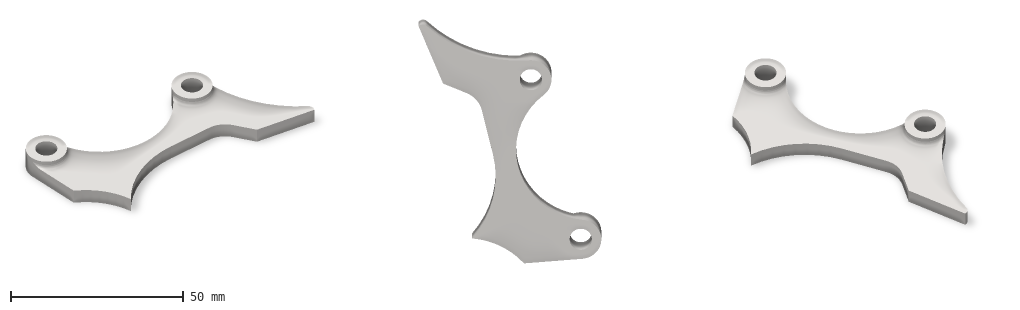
import cadquery as cq
import math

plate_thickness = 4.6
boss_height = 7.0
boss_radius = 6.0
bore_radius = 3.2
boss_root_fillet = 1.1
lower_boss = (0.0, 0.0)
upper_boss = (32.5, 39.3)

waist_radius = 21.6
back_radius = 37.9
back_center_x = 53.2

foot_heel = (12.3, -13.25)
foot_toe = (29.2, -12.1)
foot_arch = (22.5, -11.0)

relief_radius = 29.2
relief_center = (57.2, -3.45)
slope_angle = math.radians(53.5)
inner_corner_radius = 7.65
level_edge_y = 28.25
level_edge_end = (55.5, level_edge_y)

horn_point = (68.9, 41.6)
horn_crown = (67.95, 42.6)
horn_back_x = 66.7


def toward(start, end, distance):
    """Point a given distance from start, in the direction of end."""
    span = math.dist(start, end)
    return tuple(a + (b - a) * distance / span for a, b in zip(start, end))


def polar(center, radius, angle):
    return (center[0] + radius * math.cos(angle), center[1] + radius * math.sin(angle))


boss_spacing = math.dist(lower_boss, upper_boss)
boss_direction = math.atan2(upper_boss[1], upper_boss[0])
waist_center_angle = boss_direction + math.acos(boss_spacing / 2 / (boss_radius + waist_radius))
waist_center = polar(lower_boss, boss_radius + waist_radius, waist_center_angle)
waist_start = toward(lower_boss, waist_center, boss_radius)
waist_end = toward(upper_boss, waist_center, boss_radius)
waist_middle = polar(waist_center, waist_radius, boss_direction - math.pi / 2)

back_rise = math.sqrt((boss_radius + back_radius) ** 2 - (back_center_x - upper_boss[0]) ** 2)
back_center = (back_center_x, upper_boss[1] + back_rise)
back_start = toward(upper_boss, back_center, boss_radius)
back_lowest = polar(back_center, back_radius, -math.pi / 2)
back_end = polar(back_center, back_radius, -math.acos((horn_back_x - back_center_x) / back_radius))

heel_angle = math.atan2(foot_heel[1], foot_heel[0])
heel_tangent_angle = heel_angle - math.acos(boss_radius / math.dist(lower_boss, foot_heel))
heel_tangent = polar(lower_boss, boss_radius, heel_tangent_angle)

relief_end = polar(relief_center, relief_radius, slope_angle + math.pi / 2)
toe_angle = math.pi + math.asin((relief_center[1] - foot_toe[1]) / relief_radius)
relief_middle = polar(relief_center, relief_radius, (toe_angle + slope_angle + math.pi / 2) / 2)
corner_x = relief_end[0] + (level_edge_y - relief_end[1]) / math.tan(slope_angle)
corner_setback = inner_corner_radius * math.tan(slope_angle / 2)
corner_start = toward((corner_x, level_edge_y), relief_end, corner_setback)
corner_end = (corner_x + corner_setback, level_edge_y)
corner_center = (corner_end[0], level_edge_y - inner_corner_radius)
corner_middle = polar(corner_center, inner_corner_radius, (math.pi + slope_angle) / 2)

plate = (
    cq.Workplane("XY")
    .moveTo(*heel_tangent)
    .lineTo(*foot_heel)
    .threePointArc(foot_arch, foot_toe)
    .threePointArc(relief_middle, relief_end)
    .lineTo(*corner_start)
    .threePointArc(corner_middle, corner_end)
    .lineTo(*level_edge_end)
    .lineTo(*horn_point)
    .threePointArc(horn_crown, back_end)
    .threePointArc(back_lowest, back_start)
    .threePointArc(toward(upper_boss, back_start, -boss_radius), waist_end)
    .threePointArc(waist_middle, waist_start)
    .threePointArc((-boss_radius, 0), heel_tangent)
    .close()
    .extrude(plate_thickness)
)


def boss_root():
    """Flared ring at the foot of a boss, with a concave quarter-round section."""
    flare_radius = boss_radius + boss_root_fillet
    arc_drop = boss_root_fillet * (1 - math.sqrt(0.5))
    return (
        cq.Workplane("XZ")
        .lineTo(flare_radius, 0)
        .lineTo(flare_radius, plate_thickness)
        .threePointArc(
            (boss_radius + arc_drop, plate_thickness + arc_drop),
            (boss_radius, plate_thickness + boss_root_fillet),
        )
        .lineTo(0, plate_thickness + boss_root_fillet)
        .close()
        .revolve(360, (0, 0, 0), (0, 1, 0))
    )


outline = plate.faces("<Z").wires().vals()
trim = cq.Workplane("XY").add(outline).toPending().extrude(boss_height)
boss_axes = cq.Workplane("XY").pushPoints([lower_boss, upper_boss])
body = plate.union(boss_axes.circle(boss_radius).extrude(boss_height))
for center in (lower_boss, upper_boss):
    body = body.union(boss_root().translate((*center, 0)).intersect(trim))

bores = boss_axes.circle(bore_radius).extrude(boss_height)
result = body.cut(bores)